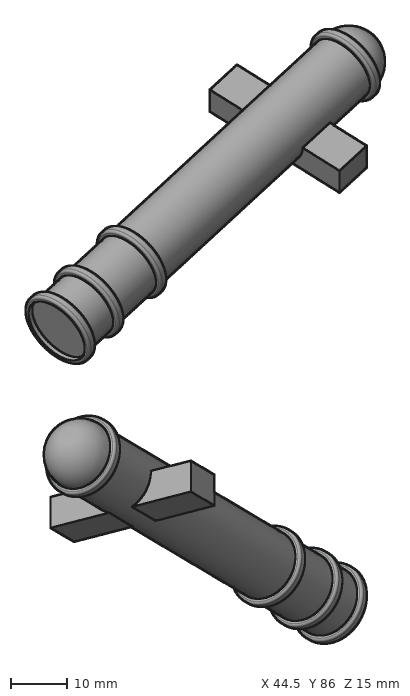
import cadquery as cq

tilt = 20.0
tube_diameter = 13.0
ring_diameter = 15.0
ring_width = 2.0
ring_rounding = 0.5
recess_depth = 1.0
tube_length = 82.0
ring_gap_end = 8.0
ring_gap_middle = 12.0
bar_length = 30.0
bar_width = 7.65
bar_height = 6.0
bar_distance = 17.0

tube_radius = tube_diameter / 2
end_ring_start = tube_length - ring_width
second_ring_start = end_ring_start - ring_gap_end
third_ring_start = second_ring_start - ring_gap_middle
ring_starts = [0, third_ring_start, second_ring_start, end_ring_start]


def along_axis(distance):
    """Plane across the untilted tube, facing -Y, at a distance from the dome's equator."""
    return cq.Workplane("XZ", origin=(0, -distance, 0))


def make_tube():
    """Plain cylinder closed by a hemispherical dome at its +Y end."""
    cylinder = along_axis(0).circle(tube_radius).extrude(tube_length)
    return cylinder.union(cq.Workplane("XY").sphere(tube_radius))


def make_ring(start):
    """Raised band with both outer edges rounded."""
    band = along_axis(start).circle(ring_diameter / 2).extrude(ring_width)
    return band.edges().fillet(ring_rounding)


def make_bar():
    """Cross bar whose top face lies on the tube's horizontal mid-plane."""
    bar = cq.Workplane("XY").box(bar_length, bar_width, bar_height)
    return bar.translate((0, -bar_distance, -bar_height / 2))


part = make_tube().union(make_bar())
for ring_start in ring_starts:
    part = part.union(make_ring(ring_start))

recess = along_axis(tube_length - recess_depth).circle(tube_radius).extrude(recess_depth)
part = part.cut(recess)

result = part.rotate((0, 0, 0), (0, 0, 1), tilt)